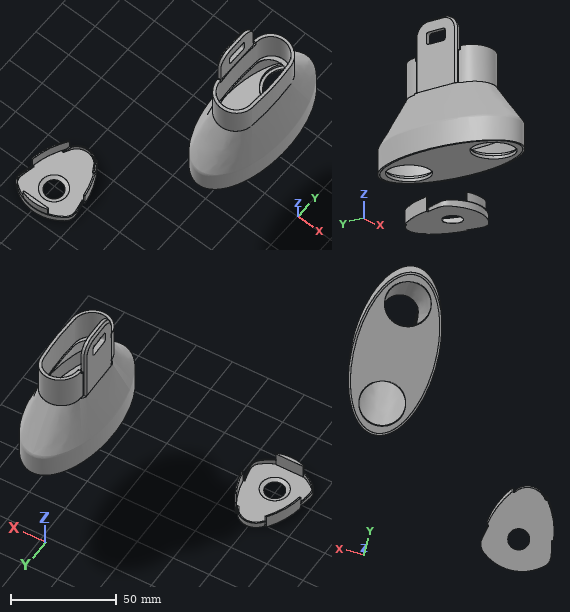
import cadquery as cq
import math

BASE_LENGTH = 82.2
BASE_WIDTH = 41.1
SKIRT_HEIGHT = 12.7
SKIRT_WALL = 1.1
SKIRT_ROUND = 2.7
SHOULDER_TOP = 34.0
EDGE_TOLERANCE = 0.01

TUBE_CENTRE_X = 0.5
TUBE_HALF_LENGTH = 24.5
TUBE_HALF_WIDTH = 11.7
TUBE_END_RADIUS = 11.0
TUBE_WALL = 1.8
RIM_HEIGHT = 52.0
RIM_SLOPE = 5.0

THROAT_HALF_LENGTH = 20.2
THROAT_HALF_WIDTH = 9.3
THROAT_END_RADIUS = 8.8

TAB_FACE_X = -12.3
TAB_THICKNESS = 2.7
TAB_WIDTH = 24.5
TAB_TOP = 69.6
TAB_CORNER_RADIUS = 7.8
TAB_CHAMFER = 1.1
TAB_SLOT_WIDTH = 11.2
TAB_SLOT_HEIGHT = 6.2
TAB_SLOT_RADIUS = 1.3
TAB_SLOT_DROP = 9.4
NOTCH_WIDTH = 1.1
NOTCH_FLOOR = 51.0

PLATE_THICKNESS = 3.2
PLATE_HOLE_DIAMETER = 22.2
PLATE_STEP_DIAMETER = 25.3
PLATE_STEP_DEPTH = 1.6
PLATE_HOLE_Y = 25.2

CAP_X = -74.9
CAP_Y = -57.5
OVERALL_HEIGHT = 134.7
CAP_BOTTOM = TAB_TOP - OVERALL_HEIGHT
CAP_TIP_Y = 26.0
CAP_FRONT_Y = -15.8
CAP_WALL = 0.7
CAP_FLOOR = 1.0
CAP_HOLE_DIAMETER = 10.2
CAP_SINK_DIAMETER = 14.8
TIP_WALL_HEIGHT = 3.2
FRONT_WALL_HEIGHT = 3.9
FRONT_RIM_SLOPE = 6.0
SIDE_FLAP_HEIGHT = 7.5
SIDE_FLAP_BACK = (8.8, 21.8)
SIDE_FLAP_MIDDLE = (13.5, 13.5)
SIDE_FLAP_FRONT = (16.5, 3.1)
SIDE_FLAP_THICKNESS = 0.8
SIDE_FLAP_FOOT = 2.7
RIM_DIP_LENGTH = 3.8
FRONT_FLAP_HEIGHT = 8.6
FRONT_FLAP_WIDTH = 15.1
FRONT_FLAP_SETBACK = 0.3
FRONT_FLAP_INNER_Y = -13.5


def at_height(z):
    return cq.Workplane("XY", origin=(0, 0, z))


def oval_join(half_length, half_width, end_radius):
    """Offset from the oval's centre of the point where its side and end arcs are tangent."""
    end_centre = half_length - end_radius
    side_radius = (end_centre**2 + half_width**2 - end_radius**2) / (2 * (half_width - end_radius))
    lean = math.asin(end_centre / (side_radius - end_radius))
    return end_radius * math.cos(lean), end_centre + end_radius * math.sin(lean)


def oval(z, half_length, half_width, end_radius):
    """Oval of two shallow side arcs and two tangent end arcs, centred on the tube."""
    join_x, join_y = oval_join(half_length, half_width, end_radius)
    return (
        at_height(z).center(TUBE_CENTRE_X, 0)
        .moveTo(join_x, -join_y)
        .threePointArc((half_width, 0), (join_x, join_y))
        .threePointArc((0, half_length), (-join_x, join_y))
        .threePointArc((-half_width, 0), (-join_x, -join_y))
        .threePointArc((0, -half_length), (join_x, -join_y))
        .close()
    )


def tube_outline(z):
    return oval(z, TUBE_HALF_LENGTH, TUBE_HALF_WIDTH, TUBE_END_RADIUS)


def throat_outline(z):
    return oval(z, THROAT_HALF_LENGTH, THROAT_HALF_WIDTH, THROAT_END_RADIUS)


def skirt_outline(z, inset=0.0):
    return at_height(z).ellipse(BASE_WIDTH / 2 - inset, BASE_LENGTH / 2 - inset)


def shoulder_top_outline():
    """Tube oval whose -X side is flattened to run along the foot of the tab."""
    join_x, join_y = oval_join(TUBE_HALF_LENGTH, TUBE_HALF_WIDTH, TUBE_END_RADIUS)
    right, left = TUBE_CENTRE_X + join_x, TUBE_CENTRE_X - join_x
    return (
        at_height(SHOULDER_TOP)
        .moveTo(right, -join_y)
        .threePointArc((TUBE_CENTRE_X + TUBE_HALF_WIDTH, 0), (right, join_y))
        .threePointArc((TUBE_CENTRE_X, TUBE_HALF_LENGTH), (left, join_y))
        .lineTo(TAB_FACE_X, TAB_WIDTH / 2)
        .lineTo(TAB_FACE_X, -TAB_WIDTH / 2)
        .lineTo(left, -join_y)
        .threePointArc((TUBE_CENTRE_X, -TUBE_HALF_LENGTH), (right, -join_y))
        .close()
    )


def loft_between(lower, upper):
    return cq.Workplane(cq.Solid.makeLoft([lower.val(), upper.val()]))


def make_tube():
    tube = tube_outline(SHOULDER_TOP).extrude(TAB_TOP - SHOULDER_TOP)
    above_rim = (
        at_height(RIM_HEIGHT).transformed(rotate=(0, RIM_SLOPE, 0), offset=(TUBE_CENTRE_X, 0, 0))
        .rect(2 * BASE_LENGTH, 2 * BASE_LENGTH).extrude(BASE_LENGTH)
    )
    notches = cq.Workplane("XY").box(
        BASE_WIDTH / 2, TAB_WIDTH + 2 * NOTCH_WIDTH, TAB_TOP, centered=(False, True, False)
    ).translate((-BASE_WIDTH / 2, 0, NOTCH_FLOOR))
    return tube.cut(above_rim).cut(notches)


def make_tab():
    height = TAB_TOP - SHOULDER_TOP
    tab = (
        cq.Workplane("XY", origin=(TAB_FACE_X, 0, SHOULDER_TOP))
        .box(TAB_THICKNESS, TAB_WIDTH, height, centered=(False, True, False))
        .edges("|X and >Z").fillet(TAB_CORNER_RADIUS)
    )
    tab = tab.faces("<X").edges("not <Z").chamfer(TAB_CHAMFER)
    slot = (
        cq.Workplane("XY", origin=(TAB_FACE_X, 0, TAB_TOP - TAB_SLOT_DROP))
        .box(2 * TAB_THICKNESS, TAB_SLOT_WIDTH, TAB_SLOT_HEIGHT)
        .edges("|X").fillet(TAB_SLOT_RADIUS)
        .translate((TAB_THICKNESS / 2, 0, 0))
    )
    return tab.cut(slot)


def make_housing():
    """Hollow from below; the oval throat leaves a narrow ledge at the foot of the tube."""
    skirt = skirt_outline(0).extrude(SKIRT_HEIGHT)
    shoulder = loft_between(skirt_outline(SKIRT_HEIGHT), shoulder_top_outline())
    body = skirt.union(shoulder)
    skirt_edge = body.edges().filter(lambda edge: abs(edge.Center().z - SKIRT_HEIGHT) < EDGE_TOLERANCE)
    body = cq.Workplane(body.val().fillet(SKIRT_ROUND, skirt_edge.vals()))

    bore = tube_outline(SHOULDER_TOP).offset2D(-TUBE_WALL).extrude(TAB_TOP)
    skirt_cavity = skirt_outline(0, SKIRT_WALL).extrude(SKIRT_HEIGHT)
    shoulder_cavity = loft_between(skirt_outline(SKIRT_HEIGHT, SKIRT_WALL), throat_outline(SHOULDER_TOP))
    body = body.union(make_tube().cut(bore)).union(make_tab())
    return body.cut(skirt_cavity).cut(shoulder_cavity)


def make_base_plate():
    hole_places = [(0, -PLATE_HOLE_Y), (0, PLATE_HOLE_Y)]
    return (
        skirt_outline(0, SKIRT_WALL).extrude(PLATE_THICKNESS)
        .faces(">Z").workplane(origin=(0, 0, 0)).pushPoints(hole_places)
        .cboreHole(PLATE_HOLE_DIAMETER, PLATE_STEP_DIAMETER, PLATE_STEP_DEPTH)
    )


def cap_outline():
    """Egg outline: tip, side, corner and front arcs."""
    side_back = (8.1, 20.9)
    side_middle = (13.7, 8.6)
    corner_back = (17.1, -4.7)
    corner_middle = (16.6, -8.1)
    corner_front = (14.3, -10.6)

    def mirrored(point):
        return -point[0], point[1]

    return (
        cq.Workplane("XY")
        .moveTo(*mirrored(side_back))
        .threePointArc((0, CAP_TIP_Y), side_back)
        .threePointArc(side_middle, corner_back)
        .threePointArc(corner_middle, corner_front)
        .threePointArc((0, CAP_FRONT_Y), mirrored(corner_front))
        .threePointArc(mirrored(corner_middle), mirrored(corner_back))
        .threePointArc(mirrored(side_middle), mirrored(side_back))
        .close()
    )


def side_flap_band(thickness, height):
    """Upright band inside the outer arc of the +X side flap."""
    def inner(point):
        return point[0] - thickness, point[1]

    return (
        at_height(0)
        .moveTo(*SIDE_FLAP_BACK)
        .threePointArc(SIDE_FLAP_MIDDLE, SIDE_FLAP_FRONT)
        .lineTo(*inner(SIDE_FLAP_FRONT))
        .threePointArc(inner(SIDE_FLAP_MIDDLE), inner(SIDE_FLAP_BACK))
        .close().extrude(height)
    )


def make_side_flap():
    foot = side_flap_band(SIDE_FLAP_FOOT, CAP_FLOOR)
    return side_flap_band(SIDE_FLAP_THICKNESS, SIDE_FLAP_HEIGHT).union(foot)


def make_front_flap():
    """Segment of the egg outline with a flat inner face."""
    strip_depth = FRONT_FLAP_INNER_Y - CAP_FRONT_Y
    strip = at_height(0).center(0, CAP_FRONT_Y + strip_depth / 2).rect(FRONT_FLAP_WIDTH, strip_depth)
    flap = cap_outline().offset2D(-FRONT_FLAP_SETBACK).extrude(FRONT_FLAP_HEIGHT)
    return flap.intersect(strip.extrude(FRONT_FLAP_HEIGHT))


def make_rim_profile():
    """Side profile of the tray: level at the tip, down to the floor beside the flaps, rising to the front."""
    flap_back, flap_front = SIDE_FLAP_BACK[1], SIDE_FLAP_FRONT[1]
    front_rise = (flap_front - CAP_FRONT_Y) * math.tan(math.radians(FRONT_RIM_SLOPE))
    profile = [
        (CAP_TIP_Y, 0),
        (CAP_TIP_Y, TIP_WALL_HEIGHT),
        (flap_back, TIP_WALL_HEIGHT),
        (flap_back - RIM_DIP_LENGTH, CAP_FLOOR),
        (flap_front, CAP_FLOOR),
        (flap_front, FRONT_WALL_HEIGHT - front_rise),
        (CAP_FRONT_Y, FRONT_WALL_HEIGHT),
        (CAP_FRONT_Y, 0),
    ]
    return cq.Workplane("YZ").polyline(profile).close().extrude(CAP_TIP_Y, both=True)


def make_cap():
    tray = cap_outline().extrude(FRONT_WALL_HEIGHT).intersect(make_rim_profile())
    pocket = cap_outline().offset2D(-CAP_WALL).extrude(FRONT_WALL_HEIGHT).translate((0, 0, CAP_FLOOR))
    tray = tray.cut(pocket)

    side_flap = make_side_flap()
    tray = tray.union(make_front_flap()).union(side_flap).union(side_flap.mirror("YZ"))

    countersink = cq.Workplane(cq.Solid.makeCone(CAP_HOLE_DIAMETER / 2, CAP_SINK_DIAMETER / 2, CAP_FLOOR))
    return tray.cut(countersink).translate((CAP_X, CAP_Y, CAP_BOTTOM))


housing = make_housing()
base_plate = make_base_plate()
cap = make_cap()

result = cq.Compound.makeCompound([
    *housing.solids().vals(),
    *base_plate.solids().vals(),
    *cap.solids().vals(),
])